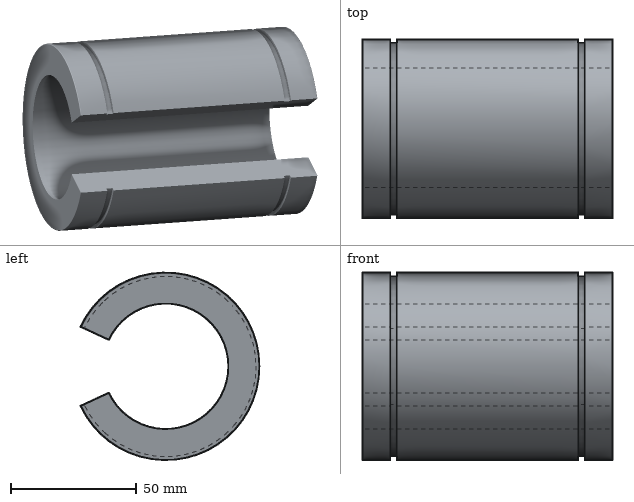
import cadquery as cq
import math

length = 100.0
outer_diameter = 75.0
bore_diameter = 50.0
opening_angle = 49.8

groove_diameter = 72.0
groove_width = 2.65
groove_span = 77.6

edge_fillet = 0.25

def make_sleeve():
    """Full tube, rounded on both outer end edges."""
    body = cq.Workplane("YZ").circle(outer_diameter / 2).extrude(length / 2, both=True)
    body = body.faces("<X or >X").edges().fillet(edge_fillet)
    bore = cq.Workplane("YZ").circle(bore_diameter / 2).extrude(length / 2, both=True)
    return body.cut(bore)

def make_groove(center_x):
    """Ring of material removed for one retaining ring."""
    return (
        cq.Workplane("YZ", origin=(center_x - groove_width / 2, 0, 0))
        .circle(outer_diameter / 2)
        .circle(groove_diameter / 2)
        .extrude(groove_width)
    )

def make_opening():
    """Wedge with its point on the axis and radial sides, reaching past the outer wall."""
    reach = outer_diameter
    half_width = reach * math.tan(math.radians(opening_angle / 2))
    return (
        cq.Workplane("YZ")
        .polyline([(0, 0), (reach, -half_width), (reach, half_width)])
        .close()
        .extrude(length / 2, both=True)
    )

result = make_sleeve()
for side in (-1, 1):
    result = result.cut(make_groove(side * (groove_span - groove_width) / 2))
result = result.cut(make_opening())